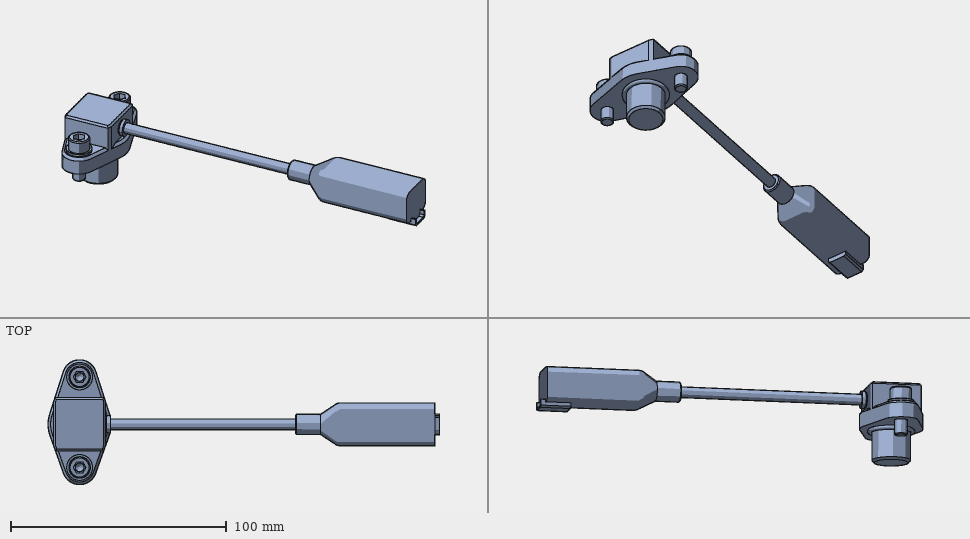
import cadquery as cq
import math


screw_front_y = -20.0
screw_back_y = 22.0
flange_end_radius = 8.0
flange_mid_radius = 14.7
flange_height = 8.2
flange_chamfer = 1.3
block_length = 24.0
block_width = 24.9
block_top = 19.8
block_chamfer = 0.9
boss_diameter = 12.0
boss_height = 1.0
probe_diameter = 18.0
probe_length = 15.8
probe_chamfer = 1.0
gland_neck_diameter = 7.0
gland_rim_diameter = 8.0
gland_rim_start = 12.5
gland_end = 14.3

ring_section = 2.0

shank_diameter = 6.0
shank_reach = 7.0
shank_chamfer = 0.5
head_diameter = 10.0
head_height = 6.0
head_chamfer = 0.5
socket_flats = 5.0
socket_depth = 2.9
socket_point_diameter = 4.0
socket_point_depth = 2.0

cable_diameter = 5.0
plug_end = 164.6
plug_width = 20.0
plug_height = 16.3
plug_edge_radius = 3.5
plug_start = 119.6
plug_shoulder_radius = 4.0
plug_top = 21.6
sleeve_diameter = 9.5
sleeve_start = 100.0
sleeve_end = 111.6
sleeve_chamfer = 0.5

tongue_start = 152.6
tongue_end = 166.8
tongue_width = 9.8
tongue_bottom = 2.7
tongue_top = 6.5
tongue_chamfer = 0.9
tongue_wall = 0.9

selection_margin = 0.2

cable_z = plug_top - plug_height / 2
boss_top = flange_height + boss_height
shank_length = boss_top + shank_reach
screw_places = [(0, screw_front_y), (0, screw_back_y)]


def x_cylinder(diameter, start, end):
    """Cylinder along X on the cable axis."""
    return (
        cq.Workplane("YZ", origin=(start, 0, cable_z))
        .circle(diameter / 2)
        .extrude(end - start)
    )


def tangent_points(screw_y):
    """Where the straight flange edge on the +X side leaves the middle arc and meets an end arc."""
    tilt = math.asin((flange_mid_radius - flange_end_radius) / screw_y)
    mid_point = (flange_mid_radius * math.cos(tilt), flange_mid_radius * math.sin(tilt))
    end_point = (
        flange_end_radius * math.cos(tilt),
        screw_y + flange_end_radius * math.sin(tilt),
    )
    return mid_point, end_point


def flange_prism(height):
    """Outline of three circles in line along Y, joined by their common tangents."""
    back_mid, back_end = tangent_points(screw_back_y)
    front_mid, front_end = tangent_points(screw_front_y)

    def mirrored(point):
        return (-point[0], point[1])

    return (
        cq.Workplane("XY")
        .moveTo(*back_mid)
        .lineTo(*back_end)
        .threePointArc((0, screw_back_y + flange_end_radius), mirrored(back_end))
        .lineTo(*mirrored(back_mid))
        .threePointArc((-flange_mid_radius, 0), mirrored(front_mid))
        .lineTo(*mirrored(front_end))
        .threePointArc((0, screw_front_y - flange_end_radius), front_end)
        .lineTo(*front_mid)
        .threePointArc((flange_mid_radius, 0), back_mid)
        .close()
        .extrude(height)
    )


def make_housing():
    """Flange with the sensor block above it, the probe below it and a gland for the cable."""
    flange = flange_prism(flange_height).faces(">Z").chamfer(flange_chamfer)

    block = (
        cq.Workplane("XY")
        .rect(block_length, block_width)
        .extrude(block_top)
        .intersect(flange_prism(block_top))
        .faces(">Z")
        .chamfer(block_chamfer)
    )
    probe = (
        cq.Workplane("XY")
        .circle(probe_diameter / 2)
        .extrude(-probe_length)
        .faces("<Z")
        .chamfer(probe_chamfer)
    )
    bosses = (
        cq.Workplane("XY", origin=(0, 0, flange_height))
        .pushPoints(screw_places)
        .circle(boss_diameter / 2)
        .extrude(boss_height)
    )
    gland_neck = x_cylinder(gland_neck_diameter, 0, gland_rim_start)
    gland_rim = x_cylinder(gland_rim_diameter, gland_rim_start, gland_end)
    gland = gland_neck.union(gland_rim)
    screw_holes = (
        cq.Workplane("XY")
        .pushPoints(screw_places)
        .circle(shank_diameter / 2)
        .extrude(boss_top)
    )
    return flange.union(block).union(probe).union(bosses).union(gland).cut(screw_holes)


def make_o_ring():
    """Ring around the probe, resting against the flange's underside."""
    ring_radius = (probe_diameter + ring_section) / 2
    return cq.Workplane(
        cq.Solid.makeTorus(ring_radius, ring_section / 2, cq.Vector(0, 0, -ring_section / 2))
    )


def make_screw(x, y):
    """Socket head screw whose head rests on a boss."""
    seat = cq.Workplane("XY", origin=(x, y, boss_top))
    shank = seat.circle(shank_diameter / 2).extrude(-shank_length).faces("<Z").chamfer(shank_chamfer)
    head = seat.circle(head_diameter / 2).extrude(head_height).faces(">Z").chamfer(head_chamfer)

    socket_floor = head_height - socket_depth
    socket_corners = socket_flats / math.cos(math.pi / 6)
    socket = (
        seat.workplane(offset=socket_floor).polygon(6, socket_corners).extrude(socket_depth)
    )
    point_tip = cq.Vector(x, y, boss_top + socket_floor - socket_point_depth)
    point = cq.Solid.makeCone(0, socket_point_diameter / 2, socket_point_depth, point_tip)
    return shank.union(head).cut(socket).cut(cq.Workplane(point))


def make_cable():
    """Cable from the gland to the plug's sleeve."""
    return x_cylinder(cable_diameter, gland_end, sleeve_start)


def arc_point(center_y, center_z, radius, angle):
    """Offset from the cable axis, as (y, z), of a point on an arc; the angle is in degrees from +Y."""
    turn = math.radians(angle)
    return center_y + radius * math.cos(turn), center_z + radius * math.sin(turn)


def quarter_arc(x, center_y, center_z, radius, start_angle):
    """Quarter circle across the cable axis at the given X."""
    points = [
        cq.Vector(x, y, cable_z + z)
        for y, z in (
            arc_point(center_y, center_z, radius, start_angle + step) for step in (0, 45, 90)
        )
    ]
    return cq.Edge.makeThreePointArc(*points)


def make_neck():
    """Transition from the round sleeve to the plug's rounded rectangle.

    Each corner arc of the rectangle is joined to a quarter of the circle by a ruled face, and
    each straight side to a single point of the circle by a flat triangle.
    """
    corner_y = plug_width / 2 - plug_edge_radius
    corner_z = plug_height / 2 - plug_edge_radius
    corners = [
        (corner_y, corner_z, 0),
        (-corner_y, corner_z, 90),
        (-corner_y, -corner_z, 180),
        (corner_y, -corner_z, 270),
    ]
    round_arcs = [quarter_arc(sleeve_end, 0, 0, sleeve_diameter / 2, angle) for _, _, angle in corners]
    corner_arcs = [quarter_arc(plug_start, y, z, plug_edge_radius, angle) for y, z, angle in corners]
    faces = [cq.Face.makeRuledSurface(inner, outer) for inner, outer in zip(round_arcs, corner_arcs)]

    sides = []
    for index, arc in enumerate(corner_arcs):
        side_start = arc.endPoint()
        side_end = corner_arcs[(index + 1) % len(corner_arcs)].startPoint()
        tip = round_arcs[index].endPoint()
        sides.append(cq.Edge.makeLine(side_start, side_end))
        triangle = cq.Wire.makePolygon([tip, side_start, side_end], close=True)
        faces.append(cq.Face.makeFromWires(triangle))

    faces.append(cq.Face.makeFromWires(cq.Wire.assembleEdges(round_arcs)))
    faces.append(cq.Face.makeFromWires(cq.Wire.combine(corner_arcs + sides)[0]))
    return cq.Workplane(cq.Solid.makeSolid(cq.Shell.makeShell(faces)))


def x_tray(start, end, width, bottom, top):
    """Bar along X with chamfered lower edges."""
    return (
        cq.Workplane("YZ", origin=(start, 0, (bottom + top) / 2))
        .rect(width, top - bottom)
        .extrude(end - start)
        .edges("|X and <Z")
        .chamfer(tongue_chamfer)
    )


def make_tongue():
    """Bar under the plug, hollowed to a thin tray where it passes the plug's end."""
    bar = x_tray(tongue_start, tongue_end, tongue_width, tongue_bottom, tongue_top)
    recess_width = tongue_width - 2 * tongue_wall
    recess_bottom = tongue_bottom + tongue_wall
    recess = x_tray(plug_end, tongue_end, recess_width, recess_bottom, tongue_top)
    return bar.cut(recess)


def make_plug():
    """Rounded box with a tapering neck, a cable sleeve and a tongue."""
    outline = cq.Sketch().rect(plug_width, plug_height).vertices().fillet(plug_edge_radius)
    body = (
        cq.Workplane("YZ", origin=(plug_start, 0, cable_z))
        .placeSketch(outline)
        .extrude(plug_end - plug_start)
    )
    shoulder = cq.selectors.BoxSelector(
        (plug_start - selection_margin, -plug_width, cable_z - plug_height),
        (plug_start + selection_margin, plug_width, cable_z + plug_height),
    )
    plug = body.union(make_neck()).edges(shoulder).fillet(plug_shoulder_radius)
    sleeve = x_cylinder(sleeve_diameter, sleeve_start, sleeve_end).faces("<X").chamfer(sleeve_chamfer)
    return plug.union(sleeve).union(make_tongue())


housing = make_housing()
o_ring = make_o_ring()
screws = [make_screw(x, y) for x, y in screw_places]
cable = make_cable()
plug = make_plug()

result = cq.Compound.makeCompound(
    [
        housing.val(),
        o_ring.val(),
        *[screw.val() for screw in screws],
        cable.val(),
        plug.val(),
    ]
)